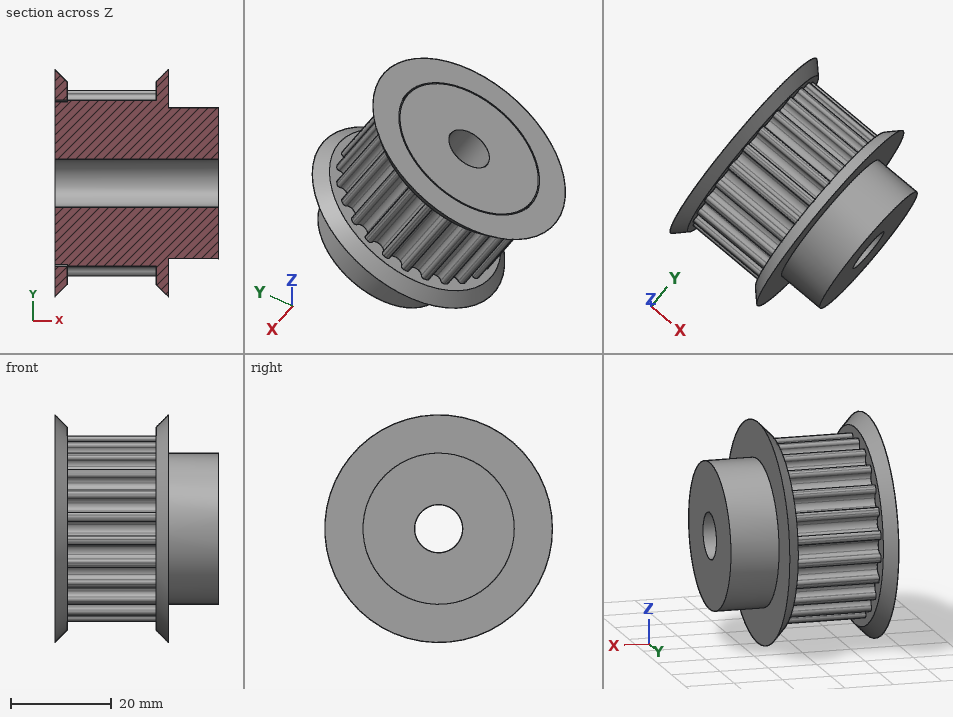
import cadquery as cq
import math


total_length = 32.5
hub_length = 9.95
flange_width = 2.5
pulley_length = total_length - hub_length

flange_radius = 22.6
flange_inner_radius = flange_radius - flange_width
tooth_tip_radius = 18.55
hub_radius = 15.0
bore_radius = 4.75

tooth_count = 24
tooth_pitch_angle = 360 / tooth_count
groove_depth = 2.1
groove_half_width = 1.45
floor_arc_radius = 1.67
floor_half_width = 0.8
tip_rounding = 0.65
groove_root_radius = tooth_tip_radius - groove_depth

gap_outer_radius = 16.5
gap_inner_radius = 16.25


def cylinder(radius, start, length):
    return cq.Workplane("YZ", origin=(start, 0, 0)).circle(radius).extrude(length)


def tooth_groove(angle):
    """Groove with a floor arc, two tangent corner arcs and parallel flanks, at an angle about X."""
    floor_slope = math.asin(floor_half_width / floor_arc_radius)
    floor_end = groove_root_radius + floor_arc_radius * (1 - math.cos(floor_slope))

    corner_radius = (groove_half_width - floor_half_width) / (1 - math.sin(floor_slope))
    flank_start = floor_end + corner_radius * math.cos(floor_slope)
    corner_mid_slope = (floor_slope + math.pi / 2) / 2
    corner_mid = flank_start - corner_radius * math.cos(corner_mid_slope)
    corner_mid_offset = groove_half_width - corner_radius * (1 - math.sin(corner_mid_slope))

    mouth = tooth_tip_radius + groove_depth
    groove = (
        cq.Workplane("YZ")
        .moveTo(mouth, -groove_half_width)
        .lineTo(flank_start, -groove_half_width)
        .threePointArc((corner_mid, -corner_mid_offset), (floor_end, -floor_half_width))
        .threePointArc((groove_root_radius, 0), (floor_end, floor_half_width))
        .threePointArc((corner_mid, corner_mid_offset), (flank_start, groove_half_width))
        .lineTo(mouth, groove_half_width)
        .close()
        .extrude(pulley_length)
    )
    return groove.rotate((0, 0, 0), (1, 0, 0), angle)


def is_tip_edge(edge):
    """True for the long edges where a groove flank meets the tooth tip."""
    tolerance = 0.005
    middle = edge.Center()
    return math.hypot(middle.y, middle.z) > tooth_tip_radius - tolerance


def toothed_rim():
    rim = cylinder(tooth_tip_radius, 0, pulley_length)
    for tooth in range(tooth_count):
        rim = rim.cut(tooth_groove(tooth * tooth_pitch_angle))
    return rim.edges("|X").filter(is_tip_edge).fillet(tip_rounding)


def flange(outer_face, inner_face):
    """Flange disc whose rim tapers from the inner face to a sharp outer edge."""
    return (
        cq.Workplane("XY")
        .moveTo(outer_face, 0)
        .lineTo(outer_face, flange_radius)
        .lineTo(inner_face, flange_inner_radius)
        .lineTo(inner_face, 0)
        .close()
        .revolve(360, (0, 0, 0), (1, 0, 0))
    )


def flange_gap():
    return cylinder(gap_outer_radius, 0, flange_width).cut(
        cylinder(gap_inner_radius, 0, flange_width)
    )


result = (
    toothed_rim()
    .union(flange(0, flange_width))
    .union(flange(pulley_length, pulley_length - flange_width))
    .union(cylinder(hub_radius, pulley_length, hub_length))
    .cut(flange_gap())
    .cut(cylinder(bore_radius, 0, total_length))
)